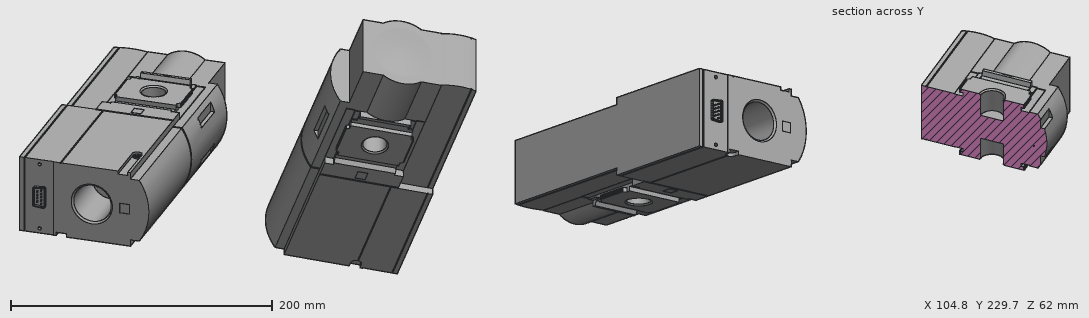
import cadquery as cq
import math


half_height = 31.0
ledge_height = 25.6
cover_height = 25.3
core_half_width = 31.2
cover_left = -58.7
nose_radius = 46.1
front_length = 101.4
nose_length = 185.9
rear_end = 225.1
cover_front = 0.5
cover_crown = 2.1

side_floor_height = 25.0
side_floor_front = 116.2
interface_rear = 178.0
rail_half_width = 24.3
trench_height = 27.4
front_slope_foot = 120.5
front_slope_top = 118.2
pad_front = 128.1
pad_rear = 165.4
rear_slope_foot = 173.9
rear_slope_top = 175.5
corner_height = 26.3
corner_front = 168.6
corner_size = 4.2
wing_reach = 2.6
wing_front = 131.5
wing_rear = 162.2
wing_corner = 1.7
wing_underside = 27.5
grip_height = 30.4
grip_pitch = 1.0
grip_width = 0.5
grip_reach = 0.5
port_center_y = 147.1
port_diameter = 18.63
port_mouth_diameter = 21.0
port_depth = 20.0

window_front = 131.6
window_rear = 162.2
window_wall_x = 40.9
window_floor_height = 13.4

ridge_half_width = 15.1
ridge_height = 30.6
cap_diameter = 47.0
cap_rim = 1.0
cap_height = 2.88

bore_diameter = 30.29
bore_mouth_diameter = 33.3
bore_depth = 45.0

seam_depth = 0.6
seam_width = 0.6
cover_seam_x = -54.7
top_seam_x = -25.4

slot_center_x = 25.0
screw_center_y = 34.0
slot_width = 7.8
slot_depth = 2.6
screw_diameter = 6.0
screw_height = 1.2
cross_length = 3.6
cross_width = 0.9
cross_depth = 0.8
pocket_center_x = -24.8
pocket_width = 8.4
pocket_depth = 2.8
pocket_straight = 4.0

connector_x = -42.4
connector_width = 10.0
connector_long_half = 8.9
connector_short_half = 8.0
connector_corner = 1.5
connector_wall = 0.8
connector_tip = -1.7
pin_diameter = 1.0
pin_pitch = 2.8
pin_row_offset = 1.6
pin_tip = -1.2
long_row_pins = 5
short_row_pins = 4
cavity_floor = 0.3
jack_hole_diameter = 2.46
jack_hole_spacing = 54.0
jack_hole_depth = 3.0

label_size = 8.0
label_depth = 0.2
top_label_y = 108.7
front_label_x = 26.5


def box(x0, x1, y0, y1, z0, z1):
    """Axis-aligned box between two corners."""
    return cq.Workplane("XY").box(x1 - x0, y1 - y0, z1 - z0, centered=False).translate((x0, y0, z0))


def slab(x0, x1, y0, y1, half):
    """Box that is symmetric about Z = 0."""
    return box(x0, x1, y0, y1, -half, half)


def with_mirror(body):
    """The body together with its image below Z = 0."""
    return body.union(body.mirror("XY"))


def y_cylinder(diameter, x, z, y0, y1):
    """Cylinder along Y from y0 to y1."""
    plane = cq.Workplane("XZ", origin=(x, y0, z))
    return plane.circle(diameter / 2).extrude(y0 - y1)


def make_nose(y0, y1, inset):
    """Stretch of the rounded +X side, drawn in by the inset all round."""
    nose = y_cylinder(2 * (nose_radius - inset), 0, 0, y0, y1)
    return nose.intersect(slab(0, nose_radius, y0, y1, ledge_height - inset))


def make_core():
    """Central core, its rounded +X side and the rear flats."""
    core = slab(-core_half_width, core_half_width, 0, front_length, half_height)
    core = core.union(slab(-core_half_width, core_half_width, 0, rear_end, ledge_height))
    side_floor = box(
        -core_half_width, core_half_width, side_floor_front, interface_rear, side_floor_height, ledge_height
    )
    window = box(window_wall_x, nose_radius, window_front, window_rear, window_floor_height, ledge_height)
    core = core.union(make_nose(0, nose_length, 0))
    return core.cut(with_mirror(side_floor)).cut(with_mirror(window))


def make_cover():
    """Electronics cover on the -X side with a bulged rear end."""
    cover_middle = (cover_left - core_half_width) / 2
    rear = (
        cq.Workplane("XY", origin=(0, 0, -cover_height))
        .moveTo(cover_left, cover_front)
        .lineTo(-core_half_width, cover_front)
        .lineTo(-core_half_width, rear_end)
        .threePointArc((cover_middle, rear_end + cover_crown), (cover_left, rear_end))
        .close()
        .extrude(2 * cover_height)
    )
    return rear.union(slab(cover_left, -core_half_width, cover_front, front_length, half_height))


def cut_grip(wings, wing_half_width):
    """Row of fine upright grooves in both outer edges of the wings."""
    middle_y = (wing_front + wing_rear) / 2
    count = int((wing_rear - wing_front - 2 * wing_corner) / grip_pitch)
    height = grip_height - wing_underside
    grooves = (
        cq.Workplane("XY", origin=(0, middle_y, wing_underside))
        .rarray(2 * wing_half_width, grip_pitch, 2, count)
        .rect(2 * grip_reach, grip_width)
        .extrude(height)
    )
    return wings.cut(grooves)


def make_interface():
    """Manifold interface on the top: label land, dovetail rail, pad and rear corners."""
    land = box(-core_half_width, core_half_width, front_length, side_floor_front, 0, half_height)
    rail = (
        cq.Workplane("YZ", origin=(-rail_half_width, 0, 0))
        .moveTo(front_length, 0)
        .lineTo(front_length, half_height)
        .lineTo(front_slope_top, half_height)
        .lineTo(front_slope_foot, trench_height)
        .lineTo(pad_front, trench_height)
        .lineTo(pad_front, half_height)
        .lineTo(pad_rear, half_height)
        .lineTo(pad_rear, trench_height)
        .lineTo(rear_slope_foot, trench_height)
        .lineTo(rear_slope_top, half_height)
        .lineTo(interface_rear, half_height)
        .lineTo(interface_rear, 0)
        .close()
        .extrude(2 * rail_half_width)
    )
    for side in (-1, 1):
        outer = side * rail_half_width
        inner = outer - side * corner_size
        rail = rail.cut(
            box(min(outer, inner), max(outer, inner), corner_front, interface_rear, corner_height, half_height)
        )
    wing_half_width = rail_half_width + wing_reach
    wings = box(-wing_half_width, wing_half_width, wing_front, wing_rear, wing_underside, half_height)
    wings = wings.edges("|Z").chamfer(wing_corner, wing_reach)
    wings = cut_grip(wings, wing_half_width)
    return with_mirror(land.union(rail).union(wings))


def make_ridges():
    """Rounded ridges along the rear flats, top and bottom."""
    ridge = (
        cq.Workplane("XZ", origin=(0, interface_rear, 0))
        .moveTo(-ridge_half_width, 0)
        .lineTo(-ridge_half_width, ledge_height)
        .threePointArc((0, ridge_height), (ridge_half_width, ledge_height))
        .lineTo(ridge_half_width, 0)
        .close()
        .extrude(interface_rear - rear_end)
    )
    return with_mirror(ridge)


def make_cap():
    """Shallow domed cap on the rear face."""
    cap_radius = cap_diameter / 2
    cap_top = rear_end + cap_height
    dome_radius = (cap_radius**2 + cap_height**2) / (2 * cap_height)
    middle_x = cap_radius / 2
    middle_y = cap_top - dome_radius + math.sqrt(dome_radius**2 - middle_x**2)
    half_section = (
        cq.Workplane("XY")
        .moveTo(0, rear_end - cap_rim)
        .lineTo(cap_radius, rear_end - cap_rim)
        .lineTo(cap_radius, rear_end)
        .threePointArc((middle_x, middle_y), (0, cap_top))
        .close()
    )
    return half_section.revolve(360, (0, 0, 0), (0, 1, 0))


def cut_ports(body):
    """Threaded front bore and the top and bottom ports, each with a countersunk mouth."""
    bore_bevel = (bore_mouth_diameter - bore_diameter) / 2
    bore = y_cylinder(bore_diameter, 0, 0, 0, bore_depth)
    bore_mouth = cq.Workplane("XZ").circle(bore_mouth_diameter / 2).extrude(-bore_bevel, taper=45)
    port_bevel = (port_mouth_diameter - port_diameter) / 2
    port_face = cq.Workplane("XY", origin=(0, port_center_y, half_height))
    port = port_face.circle(port_diameter / 2).extrude(-port_depth)
    port_mouth = port_face.circle(port_mouth_diameter / 2).extrude(-port_bevel, taper=45)
    return body.cut(bore).cut(bore_mouth).cut(with_mirror(port.union(port_mouth)))


def cut_core_seams(body):
    """Lengthwise and crosswise grooves in the core, the latter running on around the nose."""
    half = seam_width / 2
    seam_rear = front_length + seam_width
    seam_floor = half_height - seam_depth
    lengthwise = box(top_seam_x - half, top_seam_x + half, 0, front_length, seam_floor, half_height)
    crosswise = box(-core_half_width, core_half_width, front_length, seam_rear, seam_floor, half_height)
    nose_ring = make_nose(front_length, seam_rear, 0).cut(make_nose(front_length, seam_rear, seam_depth))
    nose_ring = nose_ring.intersect(slab(core_half_width, nose_radius, front_length, seam_rear, ledge_height))
    return body.cut(with_mirror(lengthwise)).cut(with_mirror(crosswise)).cut(nose_ring)


def cut_cover_seam(body):
    """Groove beside the outer wall of the cover, on its top, bottom and front."""
    x0 = cover_seam_x - seam_width / 2
    x1 = cover_seam_x + seam_width / 2
    cover_end = rear_end + cover_crown
    front_ring = slab(x0, x1, cover_front, front_length, half_height)
    front_ring = front_ring.cut(slab(x0, x1, cover_front + seam_depth, front_length, half_height - seam_depth))
    rear_ring = slab(x0, x1, front_length, cover_end, cover_height)
    rear_ring = rear_ring.cut(slab(x0, x1, front_length, cover_end, cover_height - seam_depth))
    return body.cut(front_ring).cut(rear_ring)


def open_slot(center_x, end_y, width, z0, z1):
    """Slot open at the front face with a round rear end."""
    slot = box(center_x - width / 2, center_x + width / 2, 0, end_y, z0, z1)
    end = cq.Workplane("XY", origin=(center_x, end_y, z0)).circle(width / 2).extrude(z1 - z0)
    return slot.union(end)


def add_earth_terminal(body):
    """Slot in the top face with a cross-head screw at its rear end."""
    floor = half_height - slot_depth
    body = body.cut(open_slot(slot_center_x, screw_center_y, slot_width, floor, half_height))
    screw_top = floor + screw_height
    screw_base = cq.Workplane("XY", origin=(slot_center_x, screw_center_y, floor))
    screw = screw_base.circle(screw_diameter / 2).extrude(screw_height)
    recess_face = cq.Workplane("XY", origin=(slot_center_x, screw_center_y, screw_top))
    screw = screw.cut(recess_face.rect(cross_length, cross_width).extrude(-cross_depth))
    screw = screw.cut(recess_face.rect(cross_width, cross_length).extrude(-cross_depth))
    return body.union(screw)


def cut_bottom_pocket(body):
    """Short round-ended pocket at the front edge of the bottom face."""
    pocket = open_slot(pocket_center_x, pocket_straight, pocket_width, -half_height, pocket_depth - half_height)
    return body.cut(pocket)


def connector_profile(inset, y):
    """Closed D-shaped connector outline, narrower on the -X side."""
    half = connector_width / 2 - inset
    long_half = connector_long_half - inset
    short_half = connector_short_half - inset
    return cq.Workplane("XZ", origin=(connector_x, y, 0)).polyline(
        [(half, long_half), (half, -long_half), (-half, -short_half), (-half, short_half)]
    ).close()


def add_connector(body):
    """D-shaped nine-pin connector with two jack-screw holes."""
    shell = connector_profile(0, cover_front).extrude(cover_front - connector_tip)
    shell = shell.edges("|Y").fillet(connector_corner)
    cavity = connector_profile(connector_wall, cavity_floor).extrude(cavity_floor - connector_tip)
    cavity = cavity.edges("|Y").fillet(connector_corner - connector_wall)
    body = body.union(shell.cut(cavity))
    for row_x, count in ((pin_row_offset, long_row_pins), (-pin_row_offset, short_row_pins)):
        for index in range(count):
            pin_z = (index - (count - 1) / 2) * pin_pitch
            body = body.union(
                y_cylinder(pin_diameter, connector_x + row_x, pin_z, pin_tip, cover_front)
            )
    for side in (-1, 1):
        hole_z = side * jack_hole_spacing / 2
        body = body.cut(
            y_cylinder(jack_hole_diameter, connector_x, hole_z, cover_front, cover_front + jack_hole_depth)
        )
    return body


def cut_labels(body):
    """Shallow square label recesses on the front face and on both interface lands."""
    half = label_size / 2
    front_label = slab(front_label_x - half, front_label_x + half, 0, label_depth, half)
    land_label = box(-half, half, top_label_y - half, top_label_y + half, half_height - label_depth, half_height)
    return body.cut(front_label).cut(with_mirror(land_label))


result = make_core().union(make_cover()).union(make_interface()).union(make_ridges()).union(make_cap())
result = cut_ports(result)
result = cut_core_seams(result)
result = cut_cover_seam(result)
result = add_earth_terminal(result)
result = cut_bottom_pocket(result)
result = add_connector(result)
result = cut_labels(result)